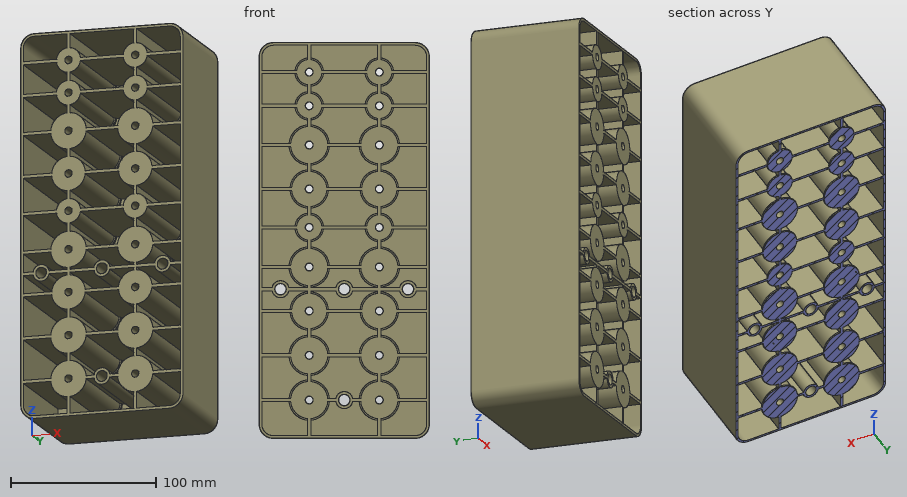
import cadquery as cq
WIDTH = 117.5
DEPTH = 80.5
HEIGHT = 273.0
CORNER_RADIUS = 9.8
WALL = 2.0
FLOOR = WALL
BACK_EDGE_RADIUS = WALL
RIB = 2.2

BACK_Y = DEPTH / 2
FLOOR_Y = BACK_Y - FLOOR
CAVITY_DEPTH = DEPTH - FLOOR

COLUMN_X = 24.16
PILOT_DIAMETER = 5.2
BASE_LEDGE = 1.0
BASE_HEIGHT = WALL
SMALL_BASE = 19.7
MEDIUM_BASE = 26.5
LARGE_BASE = 27.9
BOSS_ROWS = [
    (116.0, SMALL_BASE),
    (92.8, SMALL_BASE),
    (65.8, LARGE_BASE),
    (35.5, MEDIUM_BASE),
    (9.0, SMALL_BASE),
    (-18.3, LARGE_BASE),
    (-48.5, MEDIUM_BASE),
    (-79.2, LARGE_BASE),
    (-110.0, LARGE_BASE),
]

SLEEVE_DIAMETER = 11.7
MOUNT_HOLE_DIAMETER = 7.6
SLEEVE_ROW_Z = -33.5
SLEEVE_SIDE_X = 44.0
LOWEST_ROW_Z = BOSS_ROWS[-1][0]
SLEEVE_CENTERS = [
    (-SLEEVE_SIDE_X, SLEEVE_ROW_Z),
    (0, SLEEVE_ROW_Z),
    (SLEEVE_SIDE_X, SLEEVE_ROW_Z),
    (0, LOWEST_ROW_Z),
]


def plane_at(y):
    """Sketch plane at depth y: local x is +X, local y is +Z, extrusion runs toward -Y."""
    return cq.Workplane("XZ", origin=(0, y, 0))


def cylinders(y, centers, diameter, length):
    return plane_at(y).pushPoints(centers).circle(diameter / 2).extrude(length)


def make_tray():
    outer = plane_at(BACK_Y).rect(WIDTH, HEIGHT).extrude(DEPTH)
    outer = outer.edges("|Y").fillet(CORNER_RADIUS)
    outer = outer.faces(">Y").edges().fillet(BACK_EDGE_RADIUS)
    cavity = plane_at(FLOOR_Y).rect(WIDTH - 2 * WALL, HEIGHT - 2 * WALL).extrude(CAVITY_DEPTH)
    cavity = cavity.edges("|Y").fillet(CORNER_RADIUS - WALL)
    return outer.cut(cavity)


def make_ribs():
    """Full-depth ribs through every row and both columns, ending inside the walls."""
    row_centers = [(0, z) for z, _ in BOSS_ROWS] + [(0, SLEEVE_ROW_Z)]
    column_centers = [(-COLUMN_X, 0), (COLUMN_X, 0)]
    rows = plane_at(FLOOR_Y).pushPoints(row_centers).rect(WIDTH - WALL, RIB).extrude(CAVITY_DEPTH)
    columns = plane_at(FLOOR_Y).pushPoints(column_centers).rect(RIB, HEIGHT - WALL).extrude(CAVITY_DEPTH)
    return rows.union(columns)


def make_boss_pair(z, base_diameter):
    centers = [(-COLUMN_X, z), (COLUMN_X, z)]
    posts = cylinders(FLOOR_Y, centers, base_diameter - 2 * BASE_LEDGE, CAVITY_DEPTH)
    bases = cylinders(FLOOR_Y, centers, base_diameter, BASE_HEIGHT)
    return posts.union(bases)


result = make_tray().union(make_ribs())
for row_z, base in BOSS_ROWS:
    result = result.union(make_boss_pair(row_z, base))
result = result.union(cylinders(FLOOR_Y, SLEEVE_CENTERS, SLEEVE_DIAMETER, CAVITY_DEPTH))

pilot_centers = [(x, z) for z, _ in BOSS_ROWS for x in (-COLUMN_X, COLUMN_X)]
result = result.cut(cylinders(BACK_Y, pilot_centers, PILOT_DIAMETER, DEPTH))
result = result.cut(cylinders(BACK_Y, SLEEVE_CENTERS, MOUNT_HOLE_DIAMETER, DEPTH))